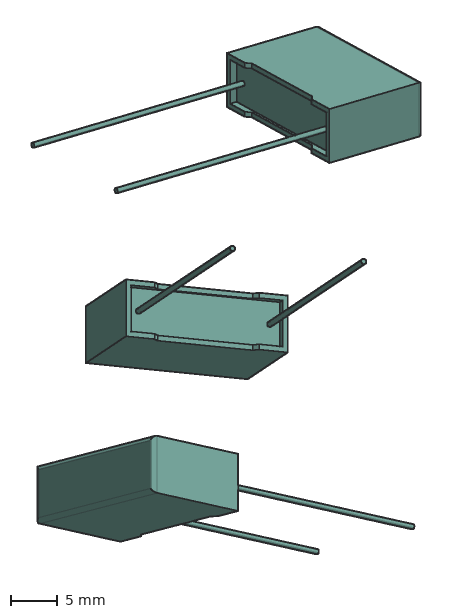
import cadquery as cq

total_length = 39.3
width = 18.5
height = 6.3
housing_depth = 12.35
lead_length_outside = total_length - housing_depth

wall = 0.6
back_edge_radius = 0.5
notch_depth = 0.5
foot_width = 3.25
notch_slope_run = 0.55

fill_recess = 0.85
lead_diameter = 0.6
lead_pitch = 15.0

cavity_width = width - 2 * wall
cavity_height = height - 2 * wall
cavity_depth = housing_depth - wall


def box_behind(face_y, size_x, size_y, size_z):
    """Box centred on X and Z, reaching from face_y towards +Y."""
    box = cq.Workplane("XY").box(size_x, size_y, size_z, centered=(True, False, True))
    return box.translate((0, face_y, 0))


def make_notch():
    """Trapezoid cut through both long walls at the mouth."""
    mouth_half = width / 2 - foot_width
    inner_half = mouth_half - notch_slope_run
    outline = [
        (-mouth_half, 0),
        (mouth_half, 0),
        (inner_half, notch_depth),
        (-inner_half, notch_depth),
    ]
    return cq.Workplane("XY").polyline(outline).close().extrude(height / 2, both=True)


def make_housing():
    """Open-mouthed box with rounded edges around its closed back."""
    shell = box_behind(0, width, housing_depth, height)
    shell = shell.faces(">Y").edges().fillet(back_edge_radius)
    shell = shell.cut(box_behind(0, cavity_width, cavity_depth, cavity_height))
    return shell.cut(make_notch())


def make_filling():
    """Solid block filling the cavity up to the recessed face."""
    return box_behind(fill_recess, cavity_width, cavity_depth - fill_recess, cavity_height)


def make_lead(x):
    """Round wire standing on the filling's face and running towards -Y."""
    lead_length = lead_length_outside + fill_recess
    wire = cq.Workplane("XZ").circle(lead_diameter / 2).extrude(lead_length)
    return wire.translate((x, fill_recess, 0))


housing = make_housing()
filling = make_filling()
leads = [make_lead(side * lead_pitch / 2) for side in (-1, 1)]

result = cq.Compound.makeCompound(
    [housing.val(), filling.val(), *[lead.val() for lead in leads]]
)